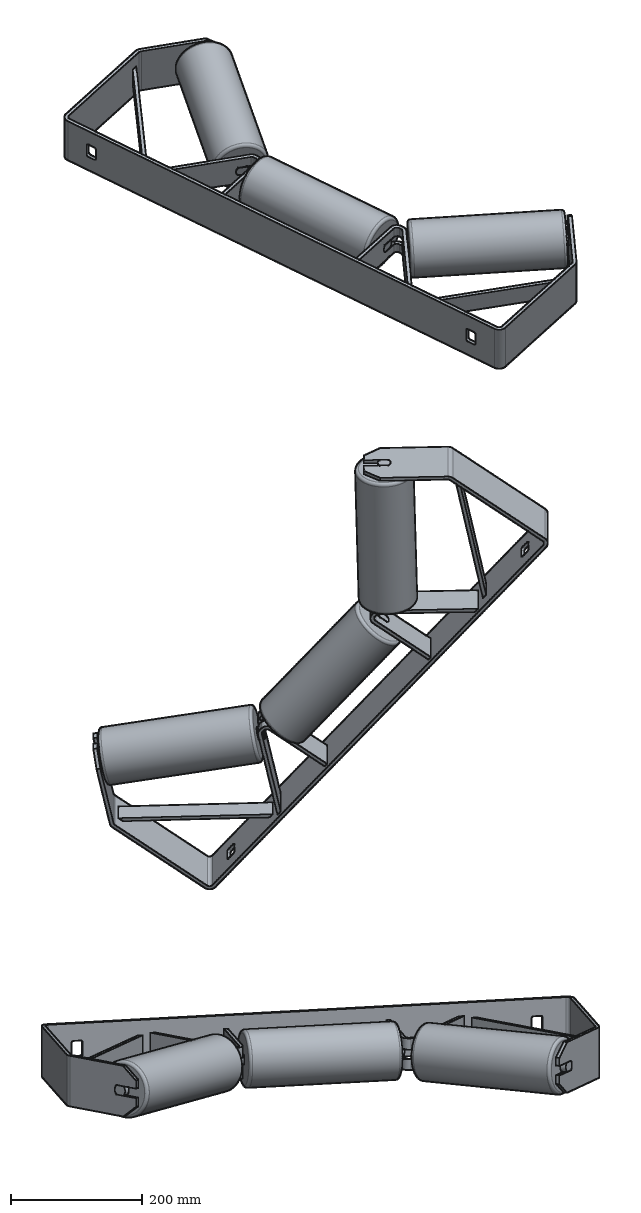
import cadquery as cq
import math


THICKNESS = 6.0
STRIP_WIDTH = 80.0
BEND_INSIDE = 6.0
BEND_OUTSIDE = BEND_INSIDE + THICKNESS

FRAME_LENGTH = 830.0
FRAME_CORNER_Y = 196.0
ARM_TIP_Y = 297.0
TIP_CHAMFER_Z = 19.0
TIP_CHAMFER_ALONG = 25.0
BASE_HOLE_X = 358.5
BASE_HOLE_WIDTH = 17.5
BASE_HOLE_HEIGHT = 25.0
BASE_HOLE_RADIUS = 3.0

TROUGH_ANGLE = 40.0
ARM_ANGLE = 90.0 - TROUGH_ANGLE
SIDE_TILT = 1.5

ROLLER_DIAMETER = 90.0
ROLLER_LENGTH = 240.0
ROLLER_FILLET = 5.0
AXLE_DIAMETER = 20.0
AXLE_FLATS = 15.0
CENTRE_ROLLER_Y = 98.0
CENTRE_ROLLER_Z = -6.0
SIDE_ROLLER_X = 251.0
SIDE_ROLLER_Y = 190.0
SIDE_ROLLER_Z = CENTRE_ROLLER_Z / 2

BRACKET_X = 124.0
BRACKET_TOP_Y = 125.0
BRACKET_TOP_LENGTH = 21.0
BRACKET_WIDTH = 50.0

AXLE_LENGTH = 2 * (BRACKET_X + THICKNESS)

STRUT_WALL_Y = 185.0
STRUT_BASE_X = 256.5
STRUT_WIDTH = 31.5

SLOT_RISE = 66.0
SLOT_DEPTH = 21.0
SLOT_START = 1.0

WALL_INSIDE_X = FRAME_LENGTH / 2 - THICKNESS
SLOPE = math.tan(math.radians(ARM_ANGLE))
ARM_TIP_X = FRAME_LENGTH / 2 - (ARM_TIP_Y - FRAME_CORNER_Y) / SLOPE
SIDES = (-1, 1)


def mirror_x(solid, side):
    return solid if side > 0 else solid.mirror("YZ")


def offset_path(points, distance):
    """Open path moved sideways, to the left of its direction for a positive distance."""
    normals = []
    for (x0, y0), (x1, y1) in zip(points, points[1:]):
        length = math.hypot(x1 - x0, y1 - y0)
        normals.append(((y0 - y1) / length, (x1 - x0) / length))
    befores = [normals[0]] + normals
    afters = normals + [normals[-1]]
    moved = []
    for (x, y), (ax, ay), (bx, by) in zip(points, befores, afters):
        mitre = distance / (1 + ax * bx + ay * by)
        moved.append((x + mitre * (ax + bx), y + mitre * (ay + by)))
    return moved


def bent_strip(outer_path, inward, width):
    """Strip with its convex face on outer_path; inward is +1 for left of the path, -1 for right."""
    inner_path = offset_path(outer_path, inward * THICKNESS)
    outline = outer_path + inner_path[::-1]
    strip = cq.Workplane("XY").polyline(outline).close().extrude(width / 2, both=True)
    for path, radius in ((outer_path, BEND_OUTSIDE), (inner_path, BEND_INSIDE)):
        for x, y in path[1:-1]:
            strip = strip.edges(cq.NearestToPointSelector((x, y, 0))).fillet(radius)
    return strip


def inside_frame():
    """Block that fills the space between the side walls, above the base bar."""
    block = cq.Workplane("XY", origin=(0, THICKNESS, 0))
    return block.box(2 * WALL_INSIDE_X, FRAME_LENGTH, STRIP_WIDTH, centered=(True, False, True))


def roller_plane(side):
    """Plane at a roller's middle: normal along the axle, local x up the slot. Side 0 is the centre."""
    if side == 0:
        return cq.Plane((0, CENTRE_ROLLER_Y, CENTRE_ROLLER_Z), (0, 1, 0), (1, 0, 0))
    trough = math.radians(TROUGH_ANGLE)
    tilt = math.radians(SIDE_TILT)
    axis = (
        side * math.cos(trough) * math.cos(tilt),
        math.sin(trough) * math.cos(tilt),
        math.sin(tilt),
    )
    slot_up = (-side * math.sin(trough), math.cos(trough), 0)
    return cq.Plane((side * SIDE_ROLLER_X, SIDE_ROLLER_Y, SIDE_ROLLER_Z), slot_up, axis)


def make_axle(plane):
    half_length = AXLE_LENGTH / 2
    rod = cq.Workplane(plane).circle(AXLE_DIAMETER / 2).extrude(half_length, both=True)
    flats = cq.Workplane(plane).rect(AXLE_DIAMETER, AXLE_FLATS).extrude(half_length, both=True)
    return rod.intersect(flats)


def make_roller(plane):
    drum = (
        cq.Workplane(plane)
        .workplane(offset=-ROLLER_LENGTH / 2)
        .circle(ROLLER_DIAMETER / 2)
        .extrude(ROLLER_LENGTH)
        .edges("%CIRCLE")
        .fillet(ROLLER_FILLET)
    )
    return drum.union(make_axle(plane))


def axle_slots(plane):
    """Cutters at both roller ends: the axle's section, open upward."""
    half_width = AXLE_FLATS / 2
    radius = AXLE_DIAMETER / 2
    flat_end = math.sqrt(radius**2 - half_width**2)
    starts = (ROLLER_LENGTH / 2 + SLOT_START, -ROLLER_LENGTH / 2 - SLOT_DEPTH)
    cutters = cq.Workplane("XY")
    for start in starts:
        cutter = (
            cq.Workplane(plane)
            .workplane(offset=start)
            .moveTo(SLOT_RISE, half_width)
            .lineTo(-flat_end, half_width)
            .threePointArc((-radius, 0), (-flat_end, -half_width))
            .lineTo(SLOT_RISE, -half_width)
            .close()
            .extrude(SLOT_DEPTH - SLOT_START)
        )
        cutters = cutters.union(cutter)
    return cutters


def tip_corners(side):
    """Wedges that bevel the two corners of an arm tip."""
    angle = math.radians(ARM_ANGLE)
    plane = cq.Plane(
        (ARM_TIP_X, ARM_TIP_Y, 0),
        (-math.cos(angle), math.sin(angle), 0),
        (math.sin(angle), math.cos(angle), 0),
    )
    edge = STRIP_WIDTH / 2
    wedges = cq.Workplane(plane)
    for end in SIDES:
        wedges = wedges.polyline([
            (0, end * edge),
            (-TIP_CHAMFER_ALONG, end * edge),
            (0, end * (edge - TIP_CHAMFER_Z)),
        ]).close()
    return mirror_x(wedges.extrude(2 * THICKNESS, both=True), side)


def make_frame():
    half = FRAME_LENGTH / 2
    right_side = [(half, 0), (half, FRAME_CORNER_Y), (ARM_TIP_X, ARM_TIP_Y)]
    left_side = [(-x, y) for x, y in right_side[::-1]]
    frame = bent_strip(left_side + right_side, 1, STRIP_WIDTH)
    for side in SIDES:
        frame = frame.cut(tip_corners(side)).cut(axle_slots(roller_plane(side)))
    base_holes = (
        cq.Workplane("XZ")
        .pushPoints([(side * BASE_HOLE_X, 0) for side in SIDES])
        .rect(BASE_HOLE_WIDTH, BASE_HOLE_HEIGHT)
        .extrude(-THICKNESS)
        .edges("|Y")
        .fillet(BASE_HOLE_RADIUS)
    )
    return frame.cut(base_holes)


def make_bracket(side):
    slope_x = BRACKET_X + BRACKET_TOP_LENGTH
    path = [
        (BRACKET_X, -THICKNESS),
        (BRACKET_X, BRACKET_TOP_Y),
        (slope_x, BRACKET_TOP_Y),
        (slope_x + (BRACKET_TOP_Y + THICKNESS) / SLOPE, -THICKNESS),
    ]
    bracket = mirror_x(bent_strip(path, -1, BRACKET_WIDTH), side)
    bracket = bracket.translate((0, 0, CENTRE_ROLLER_Z))
    bracket = bracket.intersect(inside_frame())
    return bracket.cut(axle_slots(roller_plane(0))).cut(axle_slots(roller_plane(side)))


def make_strut(side):
    run = WALL_INSIDE_X - STRUT_BASE_X
    rise = STRUT_WALL_Y - THICKNESS
    lower_end = (STRUT_BASE_X - run, THICKNESS - rise)
    upper_end = (WALL_INSIDE_X + run, STRUT_WALL_Y + rise)
    strut = bent_strip([lower_end, upper_end], -1, STRUT_WIDTH)
    return mirror_x(strut, side).intersect(inside_frame())


frame = make_frame()
brackets = [make_bracket(side) for side in SIDES]
struts = [make_strut(side) for side in SIDES]
rollers = [make_roller(roller_plane(side)) for side in (-1, 0, 1)]

result = cq.Compound.makeCompound([body.val() for body in [frame, *brackets, *struts, *rollers]])